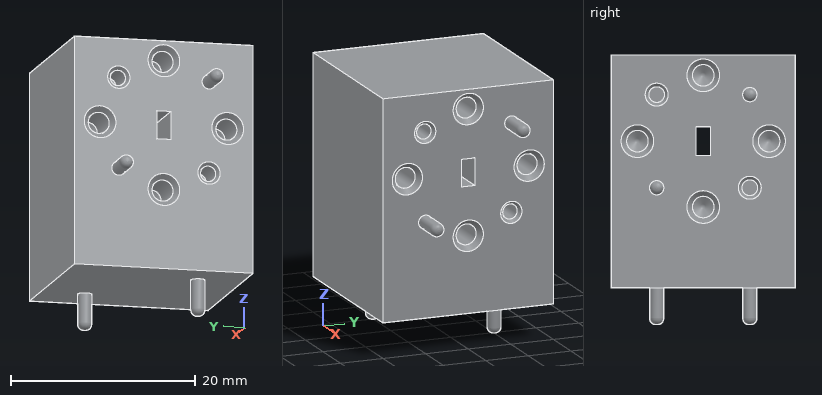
import cadquery as cq
import math

overall_length = 28.0
overall_height = 29.3
block_width = 20.0
pin_length = (overall_length - block_width) / 2
block_height = overall_height - pin_length

axis_below_top = 9.38
guide_width = 1.55
guide_height = 3.1

bolt_circle_diameter = 14.3
bolt_radius = bolt_circle_diameter / 2
dowel_offset = bolt_radius * math.sqrt(0.5)

pin_diameter = 1.55
pin_tip_round = 0.67

dowel_hole_diameter = 1.7
dowel_hole_mouth = 2.5
dowel_hole_depth = 4.7

screw_hole_diameter = 2.35
screw_hole_mouth = 3.55
screw_hole_depth = 5.85
drill_point_angle = 118.0
drill_point_depth = screw_hole_diameter / 2 / math.tan(math.radians(drill_point_angle / 2))

pin_positions = [(dowel_offset, dowel_offset), (-dowel_offset, -dowel_offset)]
dowel_hole_positions = [(-dowel_offset, dowel_offset), (dowel_offset, -dowel_offset)]
screw_positions = [(bolt_radius, 0), (-bolt_radius, 0), (0, bolt_radius), (0, -bolt_radius)]

half_block = block_width / 2
block_bottom = axis_below_top - block_height

left_flange = cq.Plane(origin=(-half_block, 0, 0), xDir=(0, -1, 0), normal=(-1, 0, 0))
right_flange = cq.Plane(origin=(half_block, 0, 0), xDir=(0, 1, 0), normal=(1, 0, 0))
bottom_face = cq.Plane(origin=(0, 0, block_bottom), xDir=(0, -1, 0), normal=(0, 0, -1))


def make_block():
    """Rectangular body with the waveguide channel cut through along X."""
    block = cq.Workplane("XY").box(block_width, block_width, block_height, centered=(True, True, False))
    block = block.translate((0, 0, block_bottom))
    channel = cq.Workplane("XY").box(block_width, guide_width, guide_height)
    return block.cut(channel)


def make_pins(face):
    """Round-tipped alignment pins standing on a face."""
    pins = cq.Workplane(face).pushPoints(pin_positions).circle(pin_diameter / 2).extrude(pin_length)
    tip_edges = cq.selectors.DirectionMinMaxSelector(face.zDir, True)
    return pins.edges(tip_edges).fillet(pin_tip_round)


def make_holes(face, positions, diameter, mouth_diameter, depth, point_depth=0.0):
    """Blind holes with a 45 degree countersink and an optional conical bottom."""
    radius = diameter / 2
    mouth_radius = mouth_diameter / 2
    countersink_depth = mouth_radius - radius
    profile = cq.Workplane("XY").moveTo(0, 0).lineTo(mouth_radius, 0)
    profile = profile.lineTo(radius, -countersink_depth).lineTo(radius, -depth)
    profile = profile.lineTo(0, -depth - point_depth).close()
    cutter = profile.revolve(360, (0, 0, 0), (0, 1, 0)).rotate((0, 0, 0), (1, 0, 0), 90).val()
    return cq.Workplane(face).pushPoints(positions).eachpoint(cutter.moved, useLocalCoordinates=True)


result = make_block()
for flange in (left_flange, right_flange):
    result = result.cut(
        make_holes(flange, dowel_hole_positions, dowel_hole_diameter, dowel_hole_mouth, dowel_hole_depth)
    )
    result = result.cut(
        make_holes(
            flange,
            screw_positions,
            screw_hole_diameter,
            screw_hole_mouth,
            screw_hole_depth,
            drill_point_depth,
        )
    )

for face in (left_flange, right_flange, bottom_face):
    result = result.union(make_pins(face))